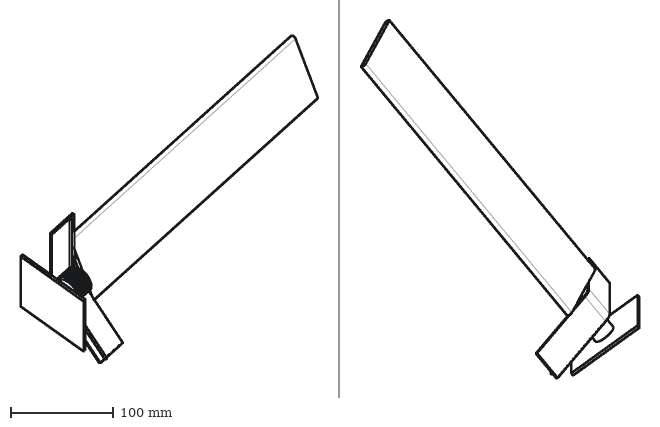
import cadquery as cq
import math


PLATE_SIDE = 82.0
PLATE_THICKNESS = 3.0
PIN_DIAMETER = 22.5

WIRE_DIAMETER = 2.5
PIN_CLEARANCE = 0.95
SPRING_FRONT = 23.5
SPRING_BACK = 42.5
FULL_TURNS = 7

BEND_ANGLE = 45.0
SHEET_THICKNESS = 2.3
BRACKET_FRONT = 16.5
BRACKET_WIDTH = 33.0
LEG_LENGTH = 84.0

BLADE_END = 383.5
BLADE_GAP = 4.0
BLADE_WIDTH = 81.5
BLADE_THICKNESS = 6.0
BLADE_OFFSET = 12.0
BLADE_SHIFT = -1.5
PEG_DIAMETER = 2.3
PEG_FROM_BEND = 10.0

coil_radius = PIN_DIAMETER / 2 + PIN_CLEARANCE + WIRE_DIAMETER / 2
sheet_inner_radius = coil_radius + WIRE_DIAMETER / 2
sheet_outer_radius = sheet_inner_radius + SHEET_THICKNESS
sheet_middle_radius = sheet_inner_radius + SHEET_THICKNESS / 2
bracket_back = BRACKET_FRONT + BRACKET_WIDTH
blade_start = bracket_back + BLADE_GAP
spring_back_face = SPRING_BACK + WIRE_DIAMETER / 2


def upper_leg_point(radius, along):
    """(x, z) on the upright leg, `radius` from the pin axis and `along` from the bend."""
    return (-radius, along)


def lower_leg_point(radius, along):
    """(x, z) on the sloping leg, `radius` from the pin axis and `along` from the bend."""
    bend = math.radians(BEND_ANGLE)
    return (
        -radius * math.cos(bend) + along * math.sin(bend),
        -radius * math.sin(bend) - along * math.cos(bend),
    )


def bend_middle_point(radius):
    """(x, z) halfway round the bend at `radius` from the pin axis."""
    half_bend = math.radians(BEND_ANGLE / 2)
    return (-radius * math.cos(half_bend), -radius * math.sin(half_bend))


def cross_section(y):
    """Sketch plane at the given y with local axes X and Z; a negative extrusion grows toward +Y."""
    return cq.Workplane("XZ", origin=(0, y, 0))


def make_base():
    plate = cross_section(0).rect(PLATE_SIDE, PLATE_SIDE).extrude(-PLATE_THICKNESS)
    pin = cross_section(0).circle(PIN_DIAMETER / 2).extrude(-spring_back_face)
    return plate.union(pin)


def straight_wire(start, y, direction):
    """Straight spring leg from the (x, z) point `start` at the given y, along an (x, z) direction."""
    leg_plane = cq.Plane(
        origin=(start[0], y, start[1]),
        xDir=(0, 1, 0),
        normal=(direction[0], 0, direction[1]),
    )
    return cq.Workplane(leg_plane).circle(WIRE_DIAMETER / 2).extrude(LEG_LENGTH)


def make_spring():
    """Close-wound coil with one straight leg along each leg of the bracket."""
    turns = FULL_TURNS + BEND_ANGLE / 360
    coil_length = SPRING_BACK - SPRING_FRONT

    coil = (
        cq.Workplane("XZ", origin=(coil_radius, 0, 0))
        .circle(WIRE_DIAMETER / 2)
        .sweep(
            cq.Workplane(cq.Wire.makeHelix(coil_length / turns, coil_length, coil_radius)),
            isFrenet=True,
        )
        .rotate((0, 0, 0), (1, 0, 0), -90)
        .rotate((0, 0, 0), (0, 1, 0), 180 - BEND_ANGLE)
        .translate((0, SPRING_FRONT, 0))
    )
    bend = math.radians(BEND_ANGLE)
    front_leg = straight_wire(
        lower_leg_point(coil_radius, 0), SPRING_FRONT, (math.sin(bend), -math.cos(bend))
    )
    back_leg = straight_wire(upper_leg_point(coil_radius, 0), SPRING_BACK, (0, 1))
    return coil.union(front_leg).union(back_leg)


def make_bracket():
    outer, inner = sheet_outer_radius, sheet_inner_radius
    return (
        cross_section(BRACKET_FRONT)
        .moveTo(*upper_leg_point(outer, LEG_LENGTH))
        .lineTo(*upper_leg_point(outer, 0))
        .threePointArc(bend_middle_point(outer), lower_leg_point(outer, 0))
        .lineTo(*lower_leg_point(outer, LEG_LENGTH))
        .lineTo(*lower_leg_point(inner, LEG_LENGTH))
        .lineTo(*lower_leg_point(inner, 0))
        .threePointArc(bend_middle_point(inner), upper_leg_point(inner, 0))
        .lineTo(*upper_leg_point(inner, LEG_LENGTH))
        .close()
        .extrude(-BRACKET_WIDTH)
    )


def make_blade():
    """Slanted blade with rounded long edges, carried by two pegs that reach the bracket."""
    straight_half = (BLADE_WIDTH - BLADE_THICKNESS) / 2
    half_thickness = BLADE_THICKNESS / 2
    blade = (
        cross_section(blade_start)
        .moveTo(-half_thickness, -straight_half)
        .lineTo(-half_thickness, straight_half)
        .threePointArc((0, BLADE_WIDTH / 2), (half_thickness, straight_half))
        .lineTo(half_thickness, -straight_half)
        .threePointArc((0, -BLADE_WIDTH / 2), (-half_thickness, -straight_half))
        .close()
        .extrude(blade_start - BLADE_END)
        .translate((-BLADE_OFFSET, 0, BLADE_SHIFT))
        .rotate((0, 0, 0), (0, 1, 0), -BEND_ANGLE / 2)
    )
    peg_points = [
        upper_leg_point(sheet_middle_radius, PEG_FROM_BEND),
        lower_leg_point(sheet_middle_radius, PEG_FROM_BEND),
    ]
    pegs = cross_section(bracket_back).pushPoints(peg_points).circle(PEG_DIAMETER / 2).extrude(-BLADE_GAP)
    return blade.union(pegs)


base = make_base()
spring = make_spring()
bracket = make_bracket()
blade = make_blade()

result = cq.Compound.makeCompound([base.val(), spring.val(), bracket.val(), blade.val()])